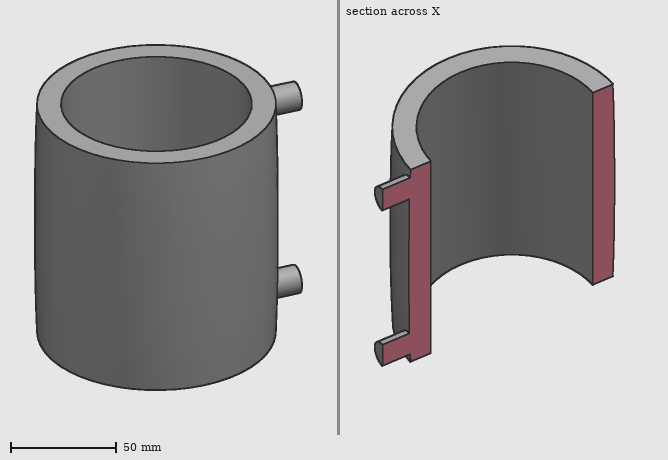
import cadquery as cq
import math

height = 124.0
band_diameter = 115.4
end_diameter = 113.5
bore_diameter = 90.5
band_height = 24.7

overall_depth = 130.1
pin_diameter = 13.9
pin_tip_y = overall_depth - band_diameter / 2
pin_end_distance = 12.0

band_radius = band_diameter / 2
end_radius = end_diameter / 2
bore_radius = bore_diameter / 2
half_height = height / 2
half_band = band_height / 2

crown_length = half_height - half_band
crown_drop = band_radius - end_radius
crown_radius = (crown_length**2 + crown_drop**2) / (2 * crown_drop)
crown_mid_z = half_band + crown_length / 2
crown_mid_radius = band_radius - crown_radius + math.sqrt(crown_radius**2 - (crown_length / 2) ** 2)


def make_sleeve():
    """Tube with a straight middle band and gently crowned ends that leave it tangentially."""
    profile = (
        cq.Workplane("XZ")
        .moveTo(bore_radius, -half_height)
        .lineTo(end_radius, -half_height)
        .threePointArc((crown_mid_radius, -crown_mid_z), (band_radius, -half_band))
        .lineTo(band_radius, half_band)
        .threePointArc((crown_mid_radius, crown_mid_z), (end_radius, half_height))
        .lineTo(bore_radius, half_height)
        .close()
    )
    return profile.revolve(360, (0, 0, 0), (0, 1, 0))


def make_pin(axis_z):
    """Round pin rooted inside the sleeve wall, clear of the bore."""
    root_y = (bore_radius + end_radius) / 2
    return (
        cq.Workplane("XZ", origin=(0, root_y, axis_z))
        .circle(pin_diameter / 2)
        .extrude(root_y - pin_tip_y)
    )


result = make_sleeve()
pin_offset = half_height - pin_end_distance
for axis_z in (-pin_offset, pin_offset):
    result = result.union(make_pin(axis_z))